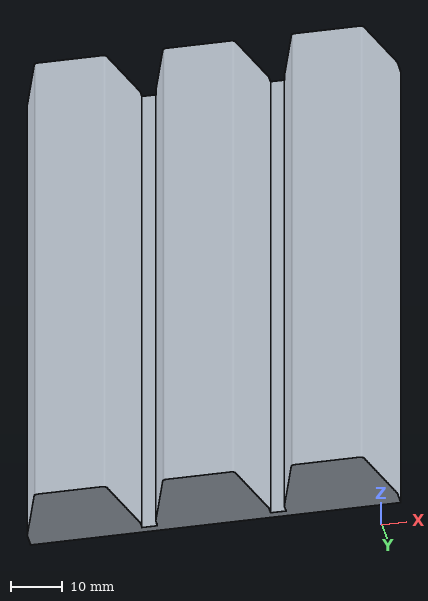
import cadquery as cq
import math

length = 101.6
height = 16.8

rib_count = 3
rib_pitch = 25.4
root_width = 22.4
root_height = 3.3
flank_angle = 17.0
tip_radius = 0.8

backing_thickness = 1.6

total_width = (rib_count - 1) * rib_pitch + root_width
flank_height = height - root_height
tip_width = root_width - 2 * flank_height * math.tan(math.radians(flank_angle))


def make_rib(center_x):
    """Tapered rib with its back at Y = 0, its tip toward -Y and rounded tip edges."""
    outline = [
        (-root_width / 2, 0),
        (-root_width / 2, -root_height),
        (-tip_width / 2, -height),
        (tip_width / 2, -height),
        (root_width / 2, -root_height),
        (root_width / 2, 0),
    ]
    rib = cq.Workplane("XY").polyline(outline).close().extrude(length)
    rib = rib.faces("<Y").edges("|Z").fillet(tip_radius)
    return rib.translate((center_x, 0, 0))


result = cq.Workplane("XY").box(
    total_width, backing_thickness, length, centered=(True, False, False)
).translate((0, -backing_thickness, 0))

for index in range(rib_count):
    rib_x = (index - (rib_count - 1) / 2) * rib_pitch
    result = result.union(make_rib(rib_x))

result = result.clean()